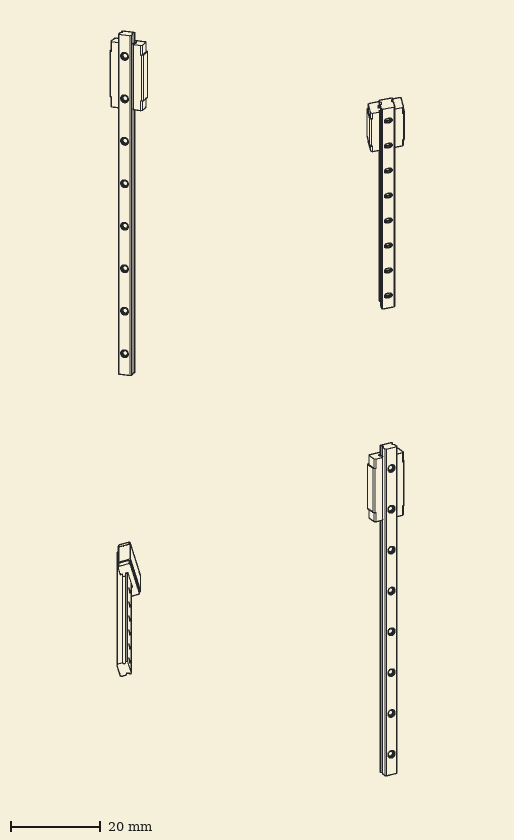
import cadquery as cq

RAIL_LENGTH = 80.0
RAIL_WIDTH = 3.0
RAIL_HEIGHT = 2.6
RAIL_BOTTOM_CHAMFER = 0.2
RAIL_TOP_CHAMFER = 0.12
GROOVE_RADIUS = 0.36
GROOVE_Y = 1.8

HOLE_COUNT = 8
HOLE_PITCH = RAIL_LENGTH / HOLE_COUNT
HOLE_DIAMETER = 1.1
COUNTERBORE_DIAMETER = 1.5
COUNTERBORE_DEPTH = 0.5
COUNTERBORE_CHAMFER = 0.2

CARRIAGE_WIDTH = 8.0
CARRIAGE_TOP_Y = 4.0
CARRIAGE_BOTTOM_Y = 1.0
CARRIAGE_LENGTH = 15.4
BLOCK_LENGTH = 10.8
CAP_INSET = 0.2
CARRIAGE_BOTTOM_CHAMFER = 0.3
CARRIAGE_TOP_CHAMFER = 0.2
CARRIAGE_Z = RAIL_LENGTH - HOLE_PITCH

SIDE_CLEARANCE = 0.2
TOP_CLEARANCE = 0.2


def make_rail_bar():
    bar = cq.Workplane("XY").box(RAIL_WIDTH, RAIL_HEIGHT, RAIL_LENGTH, centered=(True, False, False))
    bar = bar.edges("|Z and <Y").chamfer(RAIL_BOTTOM_CHAMFER)
    return bar.edges("|Z and >Y").chamfer(RAIL_TOP_CHAMFER)


def make_side_rods():
    """Round rods along both rail sides: they cut the grooves."""
    groove_spots = [(side * RAIL_WIDTH / 2, GROOVE_Y) for side in (-1, 1)]
    return cq.Workplane("XY").pushPoints(groove_spots).circle(GROOVE_RADIUS).extrude(RAIL_LENGTH)


def make_hole_tool():
    """Revolved space of one hole, from the rail's bottom face upwards along Y."""
    hole_radius = HOLE_DIAMETER / 2
    bore_radius = COUNTERBORE_DIAMETER / 2
    profile = [
        (0, 0),
        (bore_radius + COUNTERBORE_CHAMFER, 0),
        (bore_radius, COUNTERBORE_CHAMFER),
        (bore_radius, COUNTERBORE_DEPTH),
        (hole_radius, COUNTERBORE_DEPTH),
        (hole_radius, RAIL_HEIGHT),
        (0, RAIL_HEIGHT),
    ]
    return cq.Workplane("XY").polyline(profile).close().revolve(360, (0, 0), (0, 1))


def make_rail():
    rail = make_rail_bar().cut(make_side_rods())
    hole_tool = make_hole_tool()
    for i in range(HOLE_COUNT):
        rail = rail.cut(hole_tool.translate((0, 0, (i + 0.5) * HOLE_PITCH)))
    return rail


def make_chamfered_block(width, top_y, length):
    height = top_y - CARRIAGE_BOTTOM_Y
    block = cq.Workplane("XY", origin=(0, CARRIAGE_BOTTOM_Y, CARRIAGE_Z))
    block = block.box(width, height, length, centered=(True, False, True))
    block = block.edges("|Z and <Y").chamfer(CARRIAGE_BOTTOM_CHAMFER)
    return block.edges("|Z and >Y").chamfer(CARRIAGE_TOP_CHAMFER)


def make_slot():
    """Space for the rail, less the two ridges that reach from the slot's sides into the rail's grooves."""
    slot_width = RAIL_WIDTH + 2 * SIDE_CLEARANCE
    slot_height = RAIL_HEIGHT + TOP_CLEARANCE
    slot = cq.Workplane("XY").box(slot_width, slot_height, RAIL_LENGTH, centered=(True, False, False))
    ridge_roots = cq.Workplane("XY", origin=(0, GROOVE_Y, 0))
    ridge_roots = ridge_roots.box(slot_width, 2 * GROOVE_RADIUS, RAIL_LENGTH, centered=(True, True, False))
    ridge_roots = ridge_roots.cut(make_rail_bar())
    return slot.cut(make_side_rods()).cut(ridge_roots)


def make_carriage():
    block = make_chamfered_block(CARRIAGE_WIDTH, CARRIAGE_TOP_Y, BLOCK_LENGTH)
    caps = make_chamfered_block(CARRIAGE_WIDTH - 2 * CAP_INSET, CARRIAGE_TOP_Y - CAP_INSET, CARRIAGE_LENGTH)
    return block.union(caps).cut(make_slot())


rail = make_rail()
carriage = make_carriage()
result = cq.Compound.makeCompound([rail.solids().val(), carriage.solids().val()])